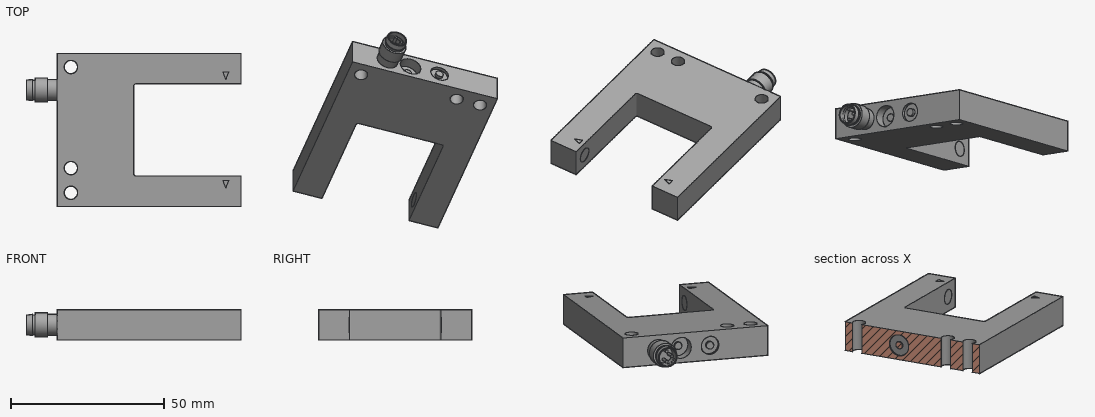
import cadquery as cq

length = 60.0
width = 50.0
thickness = 10.0
arm_width = 10.0
slot_depth = 35.0
slot_corner_radius = 0.7
arm_face_y = width / 2 - arm_width

mount_diameter = 4.3
mount_inset = 4.5
extra_mount_inset = 12.5

connector_y = width / 2 - 12.0
connector_length = 10.0
neck_diameter = 7.0
collar_diameter = 8.0
collar_start = 3.15
collar_end = 7.2
barb_diameter = 7.0
barb_start = 8.1
tip_diameter = 6.5
socket_diameter = 5.8
socket_depth = 4.2
pin_diameter = 1.0
pin_circle_radius = 1.75
pin_length = 3.3
pin_count = 3
pin_first_angle = 90
pin_arc = 180

post_diameter = 2.5
deep_recess_y = width / 2 - 20.0
deep_recess_diameter = 7.0
deep_recess_depth = 3.5
deep_post_height = 0.7
shallow_recess_y = width / 2 - 30.0
shallow_recess_diameter = 6.0
shallow_recess_depth = 1.0
shallow_post_height = shallow_recess_depth

window_diameter = 5.0
window_depth = 0.1
window_inset = 5.0

arrow_width = 1.95
arrow_length = 2.5
arrow_gap = 1.5
arrow_depth = 0.1


def rod(diameter, x_start, x_end, y):
    """Cylinder parallel to X at mid-thickness, between two X positions."""
    plane = cq.Workplane("YZ", origin=(x_start, y, 0))
    return plane.circle(diameter / 2).extrude(x_end - x_start)


def make_housing():
    block = cq.Workplane("XY").box(length, width, thickness, centered=(False, True, True))
    slot = (
        cq.Workplane("XY")
        .box(slot_depth, 2 * arm_face_y, thickness, centered=(False, True, True))
        .edges("|Z and <X")
        .fillet(slot_corner_radius)
        .translate((length - slot_depth, 0, 0))
    )
    return block.cut(slot)


def cut_mounting_holes(body):
    centres = [
        (mount_inset, width / 2 - mount_inset),
        (mount_inset, extra_mount_inset - width / 2),
        (mount_inset, mount_inset - width / 2),
    ]
    holes = (
        cq.Workplane("XY", origin=(0, 0, -thickness / 2))
        .pushPoints(centres)
        .circle(mount_diameter / 2)
        .extrude(thickness)
    )
    return body.cut(holes)


def cut_recess(body, y, diameter, depth, post_height):
    recess = rod(diameter, 0, depth, y)
    post = rod(post_diameter, depth - post_height, depth, y)
    return body.cut(recess.cut(post))


def cut_windows(body):
    for side in (1, -1):
        window = (
            cq.Workplane("XZ", origin=(length - window_inset, side * arm_face_y, 0))
            .circle(window_diameter / 2)
            .extrude(-side * window_depth)
        )
        body = body.cut(window)
    return body


def cut_arrows(body):
    x_centre = length - window_inset
    tip_ys = (arm_face_y + arrow_gap, -arm_face_y - arrow_gap - arrow_length)
    for tip_y in tip_ys:
        base_y = tip_y + arrow_length
        outline = [
            (x_centre, tip_y),
            (x_centre + arrow_width / 2, base_y),
            (x_centre - arrow_width / 2, base_y),
        ]
        top = cq.Workplane("XY", origin=(0, 0, thickness / 2))
        body = body.cut(top.polyline(outline).close().extrude(-arrow_depth))
    return body


def make_connector():
    profile = [
        (0, 0),
        (0, neck_diameter / 2),
        (-collar_start, neck_diameter / 2),
        (-collar_start, collar_diameter / 2),
        (-collar_end, collar_diameter / 2),
        (-collar_end, tip_diameter / 2),
        (-barb_start, tip_diameter / 2),
        (-barb_start, barb_diameter / 2),
        (-connector_length, tip_diameter / 2),
        (-connector_length, 0),
    ]
    shell = cq.Workplane("XY").polyline(profile).close().revolve(360, (0, 0, 0), (1, 0, 0))
    floor_x = socket_depth - connector_length
    connector = shell.cut(rod(socket_diameter, -connector_length, floor_x, 0))
    pins = (
        cq.Workplane("YZ", origin=(floor_x, 0, 0))
        .polarArray(pin_circle_radius, pin_first_angle, pin_arc, pin_count)
        .circle(pin_diameter / 2)
        .extrude(-pin_length)
    )
    return connector.union(pins).translate((0, connector_y, 0))


result = cut_mounting_holes(make_housing())
result = cut_recess(result, deep_recess_y, deep_recess_diameter, deep_recess_depth, deep_post_height)
result = cut_recess(
    result, shallow_recess_y, shallow_recess_diameter, shallow_recess_depth, shallow_post_height
)
result = cut_arrows(cut_windows(result))
result = result.union(make_connector())